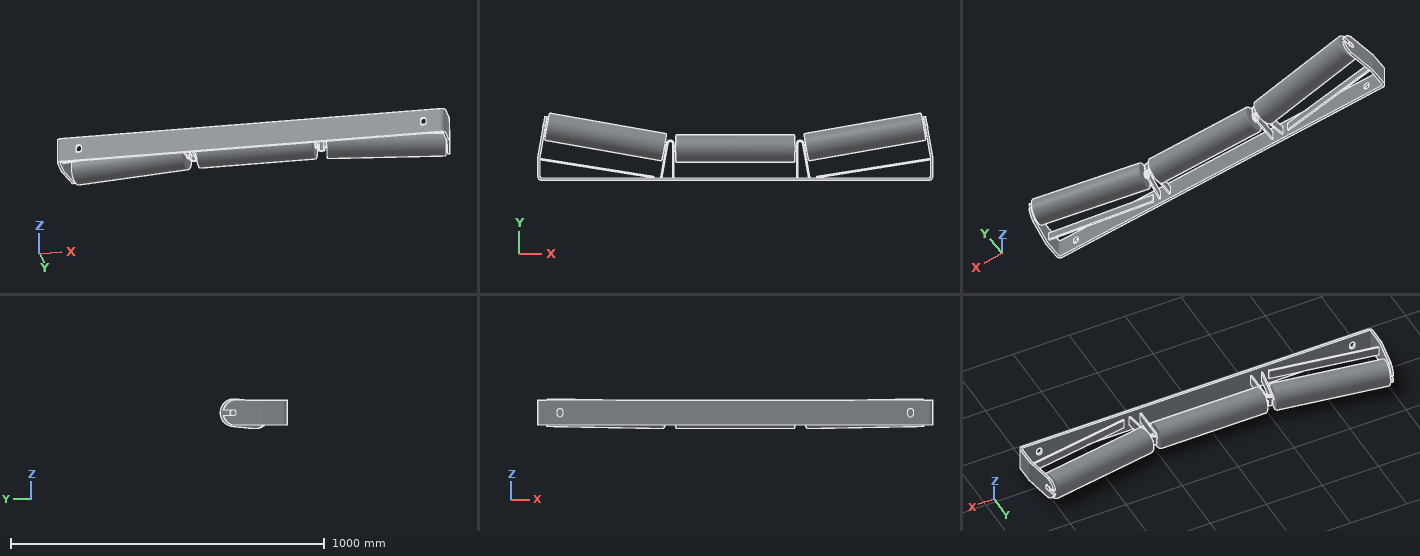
import cadquery as cq
import math


frame_length = 1260.0
frame_width = 80.0
base_thickness = 8.0
inner_bend_radius = 5.0
outer_bend_radius = inner_bend_radius + base_thickness
lean_start_y = 76.0
end_tip_y = 205.0
end_tip_radius = 41.5
bolt_slot_x = 559.0
bolt_slot_width = 18.0
bolt_slot_height = 27.0

roller_diameter = 89.0
roller_length = 380.0
roller_edge_radius = 5.0
shaft_diameter = 20.0
shaft_flat_width = 17.0
shaft_slot_height = 60.0
trough_angle = 10.0
forward_tilt = 1.035
support_gap = 5.0
middle_roller_y = 101.5
side_roller_x = 413.5
side_roller_y = 138.32

saddle_thickness = 5.0
saddle_width = 35.0
saddle_bend_y = 116.5
brace_thickness = 5.0
brace_width = 32.0
brace_angle = 9.0
brace_foot_x = 259.5
brace_weld_depth = 0.3

half_length = frame_length / 2
half_width = frame_width / 2
sin_trough = math.sin(math.radians(trough_angle))
cos_trough = math.cos(math.radians(trough_angle))
tan_half_trough = math.tan(math.radians(trough_angle / 2))

end_inner_x = half_length - base_thickness
lean_length = (end_tip_y - lean_start_y) / cos_trough

half_roller = roller_length / 2
support_face = half_roller + support_gap
saddle_shaft_reach = support_face + saddle_thickness
end_shaft_reach = support_face + base_thickness

tilt_drop = (roller_length - 2 * roller_edge_radius) * math.sin(math.radians(forward_tilt))
middle_roller_z = -tilt_drop
side_roller_z = -tilt_drop / 2


def strip(profile, width):
    """Sheet of the given width, centred on Z = 0, from a closed XY profile."""
    return profile.extrude(width / 2, both=True)


def both_sides(left_shape):
    """A left-hand shape and its mirror image on the right."""
    return [left_shape, left_shape.mirror("YZ")]


def place_middle(shape):
    """Move a shape built about the X axis to the middle roller."""
    return shape.translate((0, middle_roller_y, middle_roller_z))


def place_left(shape):
    """Tilt and move a shape built about the X axis to the left side roller."""
    return (
        shape.rotate((0, 0, 0), (0, 1, 0), forward_tilt)
        .rotate((0, 0, 0), (0, 0, 1), -trough_angle)
        .translate((-side_roller_x, side_roller_y, side_roller_z))
    )




def flatted_shaft(start, end):
    """Round shaft along X with a flat on its +Z and -Z sides."""
    length = end - start
    round_bar = cq.Workplane("YZ", origin=(start, 0, 0)).circle(shaft_diameter / 2).extrude(length)
    between_flats = cq.Workplane("XY", origin=((start + end) / 2, 0, 0)).box(
        length, shaft_diameter, shaft_flat_width
    )
    return round_bar.intersect(between_flats)


def roller(left_reach, right_reach):
    """Roller about the X axis, its shaft ends reaching the given distances from the centre."""
    shell = (
        cq.Workplane("YZ", origin=(-half_roller, 0, 0))
        .circle(roller_diameter / 2)
        .extrude(roller_length)
        .edges()
        .fillet(roller_edge_radius)
    )
    return shell.union(flatted_shaft(-left_reach, right_reach))




def bent_channel():
    """Flat base with bent-up ends, each leaning inwards above a second bend."""
    outer_tip_x = half_length - lean_length * sin_trough
    inner_tip_x = outer_tip_x - base_thickness * cos_trough
    inner_lean_y = lean_start_y - base_thickness * tan_half_trough
    right_side = [
        (half_length, 0),
        (half_length, lean_start_y),
        (outer_tip_x, end_tip_y),
        (inner_tip_x, end_tip_y - base_thickness * sin_trough),
        (end_inner_x, inner_lean_y),
        (end_inner_x, base_thickness),
    ]
    left_side = [(-x, y) for x, y in reversed(right_side)]
    channel = strip(cq.Workplane("XY").polyline(right_side + left_side).close(), frame_width)

    bends = (
        (half_length, 0, outer_bend_radius),
        (half_length, lean_start_y, outer_bend_radius),
        (end_inner_x, base_thickness, inner_bend_radius),
        (end_inner_x, inner_lean_y, inner_bend_radius),
    )
    for side in (-1, 1):
        for x, y, radius in bends:
            corner = cq.selectors.NearestToPointSelector((side * x, y, 0))
            channel = channel.edges("|Z").edges(corner).fillet(radius)
    return channel


def left_end_waste():
    """Material to cut away around the rounded tip of the left end plate."""
    arc_start = lean_length - end_tip_radius + math.sqrt(end_tip_radius**2 - half_width**2)
    waste_end = lean_length + base_thickness
    plate_plane = cq.Plane(
        origin=(-half_length, lean_start_y, 0),
        xDir=(sin_trough, cos_trough, 0),
        normal=(cos_trough, -sin_trough, 0),
    )
    return (
        cq.Workplane(plate_plane)
        .moveTo(arc_start, -half_width)
        .threePointArc((lean_length, 0), (arc_start, half_width))
        .lineTo(waste_end, half_width)
        .lineTo(waste_end, -half_width)
        .close()
        .extrude(2 * base_thickness, both=True)
    )


def left_saddle():
    """Sheet bent over between the left and middle rollers, a leg square to each roller axis."""
    axis_x = -side_roller_x + support_face * cos_trough
    axis_y = side_roller_y - support_face * sin_trough
    middle_face_x = -support_face

    leg_spread = (middle_face_x - axis_x) * cos_trough - (saddle_bend_y - axis_y) * sin_trough
    bend_radius = leg_spread / (1 + cos_trough)
    bend_x = middle_face_x - bend_radius
    bend_middle = math.radians((180 - trough_angle) / 2)

    def bend_point(radius, angle):
        return (bend_x + radius * math.cos(angle), saddle_bend_y + radius * math.sin(angle))

    def leg_foot(radius):
        top_x, top_y = bend_point(radius, 2 * bend_middle)
        return (top_x - (top_y - base_thickness) * sin_trough / cos_trough, base_thickness)

    inner_radius = bend_radius - saddle_thickness
    profile = (
        cq.Workplane("XY")
        .moveTo(middle_face_x, base_thickness)
        .lineTo(middle_face_x, saddle_bend_y)
        .threePointArc(bend_point(bend_radius, bend_middle), bend_point(bend_radius, 2 * bend_middle))
        .lineTo(*leg_foot(bend_radius))
        .lineTo(*leg_foot(inner_radius))
        .lineTo(*bend_point(inner_radius, 2 * bend_middle))
        .threePointArc(bend_point(inner_radius, bend_middle), bend_point(inner_radius, 0))
        .lineTo(middle_face_x - saddle_thickness, base_thickness)
        .close()
    )
    return strip(profile, saddle_width)


def left_brace():
    """Sloping strip from the left end plate down to the base, its square foot welded on an edge."""
    slope = math.radians(brace_angle)
    foot_y = base_thickness - brace_weld_depth
    end_x = -end_inner_x - brace_weld_depth
    end_y = foot_y + (-brace_foot_x - end_x) * math.tan(slope)
    foot_top_x = -brace_foot_x + brace_thickness * math.sin(slope)
    foot_top_y = foot_y + brace_thickness * math.cos(slope)
    end_top_y = end_y + brace_thickness / math.cos(slope)
    outline = [(-brace_foot_x, foot_y), (foot_top_x, foot_top_y), (end_x, end_top_y), (end_x, end_y)]
    return strip(cq.Workplane("XY").polyline(outline).close(), brace_width)


def shaft_slot(start, end):
    """Cutter for a slot that holds a shaft end and is open towards +Y."""
    opening = cq.Workplane("XY", origin=((start + end) / 2, shaft_slot_height / 2, 0)).box(
        end - start, shaft_slot_height, shaft_flat_width
    )
    return flatted_shaft(start, end).union(opening)


def frame():
    """Channel with its saddles and braces welded on, slotted for bolts and shaft ends."""
    body = bent_channel()
    for left_part in (left_saddle(), left_brace()):
        for part in both_sides(left_part):
            body = body.union(part)

    outer_slot = place_left(shaft_slot(-end_shaft_reach - base_thickness, -half_roller))
    inner_slot = place_left(shaft_slot(half_roller, saddle_shaft_reach))
    middle_slot = place_middle(shaft_slot(-saddle_shaft_reach, -half_roller))
    for left_cut in (left_end_waste(), outer_slot, inner_slot, middle_slot):
        for cut in both_sides(left_cut):
            body = body.cut(cut)

    bolt_slots = (
        cq.Workplane("XZ")
        .pushPoints([(-bolt_slot_x, 0), (bolt_slot_x, 0)])
        .slot2D(bolt_slot_height, bolt_slot_width, 90)
        .extrude(-base_thickness)
    )
    return body.cut(bolt_slots)


trough_frame = frame()
middle_roller = place_middle(roller(saddle_shaft_reach, saddle_shaft_reach))
side_rollers = both_sides(place_left(roller(end_shaft_reach, saddle_shaft_reach)))

result = cq.Compound.makeCompound(
    [trough_frame.val(), middle_roller.val(), *[side_roller.val() for side_roller in side_rollers]]
)